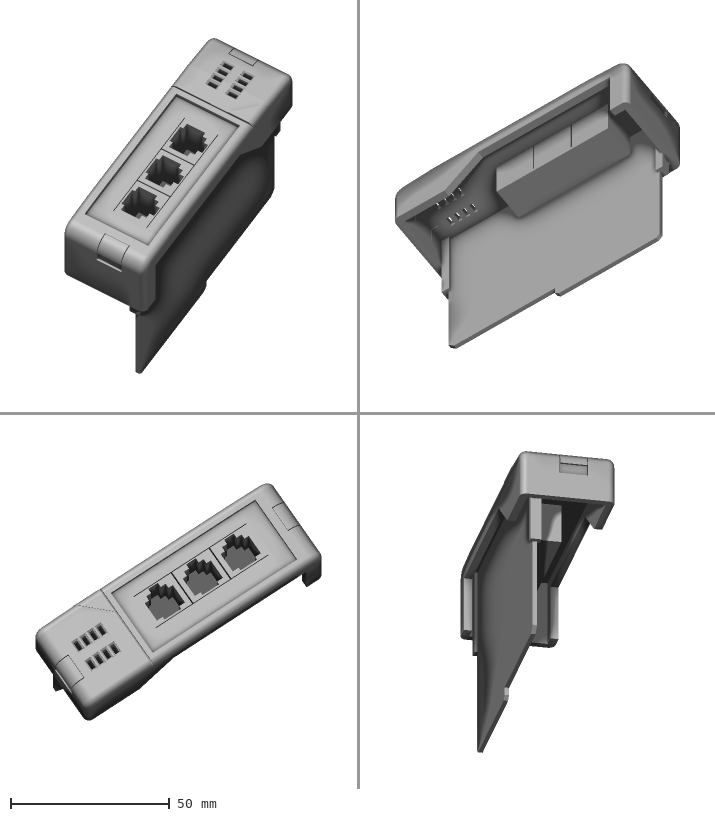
import cadquery as cq

WIDTH = 30.5
LENGTH = 90.0
TOTAL_HEIGHT = 67.4
HALF_WIDTH = WIDTH / 2
HALF_LENGTH = LENGTH / 2
REAR_BEND_Y = 29.7
FRONT_BEND_Y = -30.1
REAR_DROP = 1.3
FRONT_DROP = 0.8
REAR_RADIUS = 4.05
FRONT_RADIUS = 4.8
SIDE_RADIUS = 2.2

REAR_BOTTOM_Z = -17.4
FRONT_BOTTOM_Z = -24.9
SIDE_EDGE_Z = -6.75
SLANT_START_Y = 25.1
OPENING_REAR_Y = 12.15
OPENING_FRONT_Y = -38.3

WALL = 2.6
ROOF = 3.6

POCKET_HALF_WIDTH = 11.8
POCKET_DEPTH = 1.6
POCKET_REAR_Y = 17.7
POCKET_BEND_Y = -31.6
POCKET_FRONT_Y = -37.1

GROOVE_REAR_Y = 20.1
GROOVE_WIDTH = 0.5
GROOVE_DEPTH = 0.7
GROOVE_CORNER_RADIUS = 1.7

BADGE_HEIGHT = 0.3
BADGE_INNER_X = 5.9
BADGE_BOTTOM_Z = -2.4

LIGHT_COLUMNS_X = (-4.0, 3.4)
LIGHT_ROWS = 4
FIRST_LIGHT_Y = 35.8
LIGHT_PITCH = 3.0
LIGHT_OUTER = (4.3, 2.4)
LIGHT_INNER = (3.15, 1.4)
LIGHT_LIP = 0.1
LIGHT_TAPER = 0.45

LATCH_WIDTH = 9.2
LATCH_SLOT = 0.3
LATCH_SLIT_DEPTH = 1.35
REAR_LATCH_GAP = 0.3
FRONT_LATCH_GAP = 0.1
GRIP_DEPTH = 0.8
GRIP_TOP_Z = -5.3
LATCH_INNER_Y = 40.0
LATCH_BOTTOM_Z = -8.9
REAR_LATCH_X = -1.8
FRONT_LATCH_X = 2.2

BOARD_X = 9.8
BOARD_THICKNESS = 1.4
BOARD_HALF_LENGTH = 40.5
BOARD_STEP_Y = -0.4
BOARD_REAR_BOTTOM_Z = -63.2
BOARD_FRONT_BOTTOM_Z = BADGE_HEIGHT - TOTAL_HEIGHT
BOARD_REAR_CHAMFER = 2.2
BOARD_FRONT_CHAMFER = 1.35

POST_WIDTH = 3.5
POST_INNER_Y = 39.6
POST_BOTTOM_Z = -31.7

JACK_COUNT = 3
JACK_PITCH = 14.4
JACK_LENGTH = 13.95
JACK_WIDTH = 12.1
JACK_X = 1.0
JACK_REAR_Y = OPENING_REAR_Y
JACK_BOTTOM_Z = -15.4
JACK_BASE_Z = -16.5
JACK_WINDOW_GAP = 0.3
JACK_TOP_Z = -POCKET_DEPTH
JACK_ROW_LENGTH = JACK_LENGTH + (JACK_COUNT - 1) * JACK_PITCH

PLUG_X = (-4.5, -3.4, 3.4, 5.0, 6.7)
PLUG_HALF_Y = (3.15, 5.3, 3.7, 1.8)


def block(x_range, y_range, z_range):
    """Axis-aligned box between the given limits."""
    lows, highs = zip(x_range, y_range, z_range)
    sizes = [high - low for low, high in zip(lows, highs)]
    return cq.Workplane().box(*sizes, centered=False).translate(lows)


def full_block():
    """Block with sloping, rounded top ends."""
    outline = [
        (HALF_LENGTH, FRONT_BOTTOM_Z),
        (HALF_LENGTH, -REAR_DROP),
        (REAR_BEND_Y, 0),
        (FRONT_BEND_Y, 0),
        (-HALF_LENGTH, -FRONT_DROP),
        (-HALF_LENGTH, FRONT_BOTTOM_Z),
    ]
    solid = cq.Workplane("YZ").polyline(outline).close().extrude(HALF_WIDTH, both=True)
    for sign, drop, radius in ((1, REAR_DROP, REAR_RADIUS), (-1, FRONT_DROP, FRONT_RADIUS)):
        corner = (0, sign * HALF_LENGTH, -drop)
        solid = solid.edges(cq.selectors.NearestToPointSelector(corner)).fillet(radius)
    return solid


def underside():
    """Space below the stepped lower edge of the housing."""
    outline = [
        (HALF_LENGTH, REAR_BOTTOM_Z),
        (SLANT_START_Y, REAR_BOTTOM_Z),
        (OPENING_REAR_Y, SIDE_EDGE_Z),
        (OPENING_FRONT_Y, SIDE_EDGE_Z),
        (OPENING_FRONT_Y, FRONT_BOTTOM_Z),
        (HALF_LENGTH, FRONT_BOTTOM_Z),
    ]
    return cq.Workplane("YZ").polyline(outline).close().extrude(HALF_WIDTH, both=True)


def shell():
    """Rounded cover, open below and along the sides under the step."""
    side_faces = full_block().faces("<X or >X")
    rounded = side_faces.edges("not <Z").fillet(SIDE_RADIUS)
    cavity = block(
        (WALL - HALF_WIDTH, HALF_WIDTH - WALL),
        (WALL - HALF_LENGTH, HALF_LENGTH - WALL),
        (FRONT_BOTTOM_Z, -ROOF),
    )
    return rounded.cut(underside()).cut(cavity)


def pocket():
    """Recess around the jacks; its floor bends down toward the -Y end."""
    slope = FRONT_DROP / (FRONT_BEND_Y + HALF_LENGTH)
    front_floor_z = -POCKET_DEPTH - slope * (POCKET_BEND_Y - POCKET_FRONT_Y)
    outline = [
        (POCKET_REAR_Y, 0),
        (POCKET_REAR_Y, -POCKET_DEPTH),
        (POCKET_BEND_Y, -POCKET_DEPTH),
        (POCKET_FRONT_Y, front_floor_z),
        (POCKET_FRONT_Y, 0),
    ]
    return cq.Workplane("YZ").polyline(outline).close().extrude(POCKET_HALF_WIDTH, both=True)


def jack_window():
    """Opening in the pocket floor for the row of jacks."""
    half_width = JACK_WIDTH / 2 + JACK_WINDOW_GAP
    return block(
        (JACK_X - half_width, JACK_X + half_width),
        (JACK_REAR_Y - JACK_ROW_LENGTH, JACK_REAR_Y),
        (-ROOF, JACK_TOP_Z),
    )


def groove():
    """Narrow groove across the top that runs out on the rounded sides."""
    y_range = (GROOVE_REAR_Y - GROOVE_WIDTH, GROOVE_REAR_Y)
    x_range = (-HALF_WIDTH, HALF_WIDTH)
    core = block(x_range, y_range, (-ROOF, -GROOVE_DEPTH))
    core = core.edges("|Y and >Z").fillet(GROOVE_CORNER_RADIUS)
    return block(x_range, y_range, (-ROOF, 0)).cut(core)


def badge():
    """Thin raised triangle on the +X top corner, following the rounded edge."""
    triangle = (
        cq.Workplane("XY", origin=(0, 0, BADGE_BOTTOM_Z))
        .polyline([(HALF_WIDTH, REAR_BEND_Y), (BADGE_INNER_X, GROOVE_REAR_Y), (HALF_WIDTH, GROOVE_REAR_Y)])
        .close()
        .extrude(BADGE_HEIGHT - BADGE_BOTTOM_Z)
    )
    bar = block((0, HALF_WIDTH), (GROOVE_REAR_Y, REAR_BEND_Y), (BADGE_BOTTOM_Z, BADGE_HEIGHT))
    return triangle.intersect(bar.edges(">X and >Z").fillet(SIDE_RADIUS))


def light_window(x, y):
    """Opening through the roof that narrows just below the surface."""
    surface_z = -REAR_DROP * max(0, y - REAR_BEND_Y) / (HALF_LENGTH - REAR_BEND_Y)
    taper_z = surface_z - LIGHT_LIP
    lip = cq.Workplane("XY", origin=(x, y, taper_z)).rect(*LIGHT_OUTER).extrude(-taper_z)
    taper = (
        cq.Workplane("XY", origin=(x, y, taper_z))
        .rect(*LIGHT_OUTER)
        .workplane(offset=-LIGHT_TAPER)
        .rect(*LIGHT_INNER)
        .loft(ruled=True)
    )
    through = cq.Workplane("XY", origin=(x, y, -ROOF)).rect(*LIGHT_INNER).extrude(ROOF)
    return lip.union(taper).union(through)


def latch_cuts(center_x, end, end_gap):
    """Slots that free a latch tongue and the finger grip below it; `end` is +1 for +Y, -1 for -Y."""
    half_width = LATCH_WIDTH / 2
    left = center_x - half_width
    right = center_x + half_width

    def end_block(x_range, inner_y, outer_y, bottom_z, top_z):
        return block(x_range, sorted((end * inner_y, end * outer_y)), (bottom_z, top_z))

    side_slots = [
        end_block(x_range, LATCH_INNER_Y, HALF_LENGTH, LATCH_BOTTOM_Z, 0)
        for x_range in ((left, left + LATCH_SLOT), (right - LATCH_SLOT, right))
    ]
    slit = end_block((left, right), LATCH_INNER_Y, LATCH_INNER_Y + end_gap, -LATCH_SLIT_DEPTH, 0)
    grip = end_block((left, right), HALF_LENGTH - GRIP_DEPTH, HALF_LENGTH, LATCH_BOTTOM_Z, GRIP_TOP_Z)
    return [*side_slots, slit, grip]


def guide_post(end):
    """Post inside one end wall; the board slides into it."""
    x_range = (BOARD_X - POST_WIDTH / 2, BOARD_X + POST_WIDTH / 2)
    y_range = sorted((end * POST_INNER_Y, end * (HALF_LENGTH - WALL)))
    return block(x_range, y_range, (POST_BOTTOM_Z, -ROOF))


def make_board():
    half_length = BOARD_HALF_LENGTH
    rear_z = BOARD_REAR_BOTTOM_Z
    front_z = BOARD_FRONT_BOTTOM_Z
    rear = BOARD_REAR_CHAMFER
    front = BOARD_FRONT_CHAMFER
    outline = [
        (half_length, -ROOF),
        (half_length, rear_z + rear),
        (half_length - rear, rear_z),
        (BOARD_STEP_Y, rear_z),
        (BOARD_STEP_Y, front_z + front),
        (BOARD_STEP_Y - front, front_z),
        (front - half_length, front_z),
        (-half_length, front_z + front),
        (-half_length, -ROOF),
    ]
    start = cq.Workplane("YZ", origin=(BOARD_X, 0, 0))
    return start.polyline(outline).close().extrude(BOARD_THICKNESS / 2, both=True)


def make_housing(board):
    housing = shell().union(badge())
    for end in (1, -1):
        housing = housing.union(guide_post(end))
    for cutter in (
        pocket(),
        jack_window(),
        groove(),
        *latch_cuts(REAR_LATCH_X, 1, REAR_LATCH_GAP),
        *latch_cuts(FRONT_LATCH_X, -1, FRONT_LATCH_GAP),
        board,
    ):
        housing = housing.cut(cutter)
    for x in LIGHT_COLUMNS_X:
        for row in range(LIGHT_ROWS):
            housing = housing.cut(light_window(x, FIRST_LIGHT_Y - row * LIGHT_PITCH))
    return housing


def make_jack(index):
    """One jack; the first also carries the base strip under the whole row."""
    rear_y = JACK_REAR_Y - index * JACK_PITCH
    x_range = (JACK_X - JACK_WIDTH / 2, JACK_X + JACK_WIDTH / 2)
    jack = block(x_range, (rear_y - JACK_LENGTH, rear_y), (JACK_BOTTOM_Z, JACK_TOP_Z))
    center_y = rear_y - JACK_LENGTH / 2
    for low_x, high_x, half_y in zip(PLUG_X, PLUG_X[1:], PLUG_HALF_Y):
        y_range = (center_y - half_y, center_y + half_y)
        jack = jack.cut(block((low_x, high_x), y_range, (JACK_BOTTOM_Z, JACK_TOP_Z)))
    if index == 0:
        row_range = (JACK_REAR_Y - JACK_ROW_LENGTH, JACK_REAR_Y)
        jack = jack.union(block(x_range, row_range, (JACK_BASE_Z, JACK_BOTTOM_Z)))
    return jack


board = make_board()
housing = make_housing(board)
jacks = [make_jack(index) for index in range(JACK_COUNT)]

result = cq.Compound.makeCompound([housing.val(), board.val(), *[jack.val() for jack in jacks]])